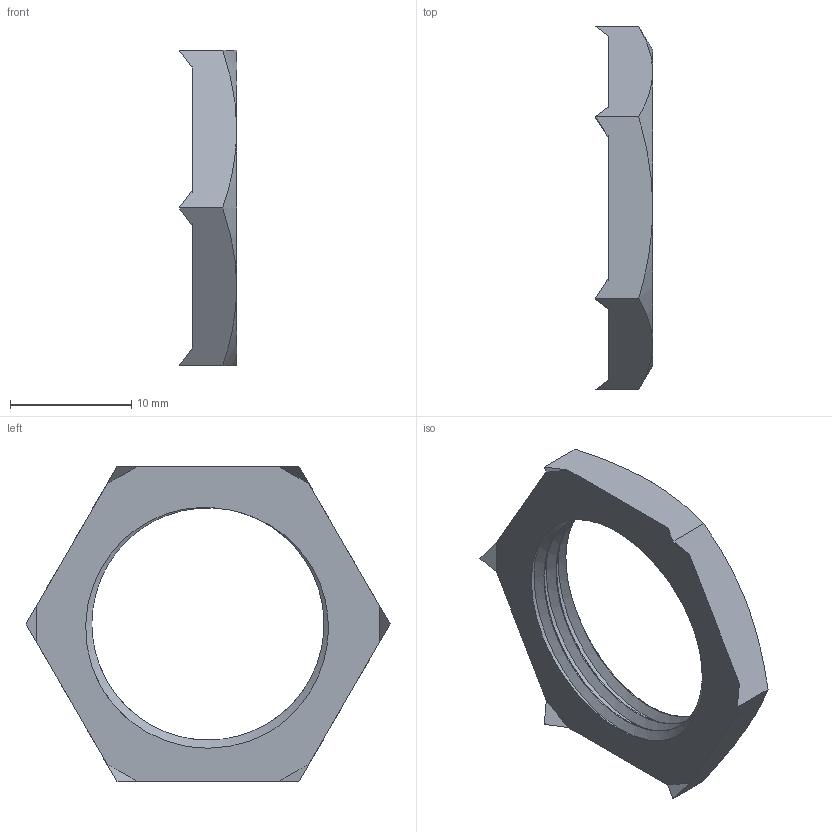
import cadquery as cq
import math

flat_width = 26.0
overall_length = 4.75
tooth_height = 1.08
corner_count = 6
half_side_angle = math.pi / corner_count
corner_radius = flat_width / 2 / math.cos(half_side_angle)
flat_radius = flat_width / 2

tooth_depth = 0.84
cutter_lead = 1.0

chamfer_radius = flat_radius
chamfer_angle = 30.0
envelope_margin = 1.0

bore_radius = 9.58
thread_root_radius = 10.25
thread_pitch = 1.41
root_width = 0.35
crest_width = 0.08
root_angle = -75.0
groove_overlap = 0.04
turns_beyond_face = 2

seat_x = tooth_height
end_x = overall_length


def hexagon_prism():
    """Full-length hexagon with corners on the Y axis, tooth tips at X = 0."""
    return cq.Workplane("YZ").polygon(corner_count, 2 * corner_radius).extrude(overall_length)


def seat_cutter():
    """Tapered hexagon, turned half a side, that leaves a sloped tooth standing at each corner."""
    slope = tooth_depth / tooth_height
    start_apothem = corner_radius + slope * cutter_lead
    taper = math.degrees(math.atan(slope))
    cutter = (
        cq.Workplane("YZ", origin=(-cutter_lead, 0, 0))
        .polygon(corner_count, 2 * start_apothem / math.cos(half_side_angle))
        .extrude(cutter_lead + tooth_height, taper=taper)
    )
    return cutter.rotate((0, 0, 0), (1, 0, 0), math.degrees(half_side_angle))


def chamfer_envelope():
    """Revolved body whose cone trims the hexagon corners at the +X end."""
    outer_radius = corner_radius + envelope_margin
    cone_length = (outer_radius - chamfer_radius) * math.tan(math.radians(chamfer_angle))
    return (
        cq.Workplane("XY")
        .moveTo(0, 0)
        .lineTo(0, outer_radius)
        .lineTo(end_x - cone_length, outer_radius)
        .lineTo(end_x, chamfer_radius)
        .lineTo(end_x, 0)
        .close()
        .revolve(360, (0, 0, 0), (1, 0, 0))
    )


def thread_groove():
    """Helical thread groove, built along Z and then turned onto the X axis."""
    length = end_x - seat_x + 2 * turns_beyond_face * thread_pitch
    inner_radius = bore_radius - groove_overlap
    root_half = root_width / 2
    bore_half = (thread_pitch - crest_width) / 2
    flank_slope = (bore_half - root_half) / (thread_root_radius - bore_radius)
    mouth_half = bore_half + flank_slope * groove_overlap
    path = cq.Wire.makeHelix(thread_pitch, length, bore_radius)
    profile = (
        cq.Workplane("XZ")
        .moveTo(inner_radius, -mouth_half)
        .lineTo(thread_root_radius, -root_half)
        .lineTo(thread_root_radius, root_half)
        .lineTo(inner_radius, mouth_half)
        .close()
    )
    groove = profile.sweep(cq.Workplane(obj=path), isFrenet=True)
    start_x = seat_x - turns_beyond_face * thread_pitch
    return (
        groove.rotate((0, 0, 0), (1, 1, 1), 120)
        .rotate((0, 0, 0), (1, 0, 0), root_angle)
        .translate((start_x, 0, 0))
    )


def bore():
    """Straight hole through the nut at the thread crests."""
    return cq.Workplane("YZ").circle(bore_radius).extrude(overall_length)


nut = hexagon_prism().cut(seat_cutter())
nut = nut.intersect(chamfer_envelope())
result = nut.cut(bore()).cut(thread_groove())